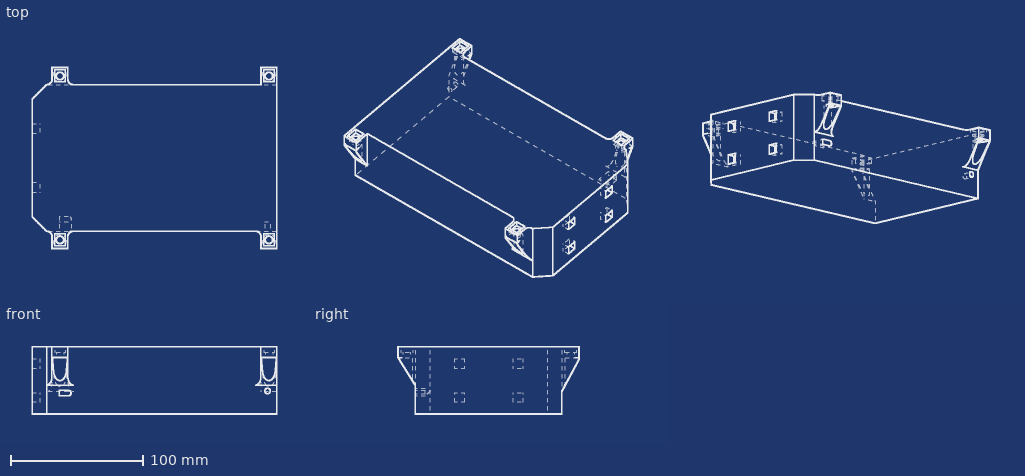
import cadquery as cq
import math

LENGTH = 185.0
OVERALL_WIDTH = 137.0
HEIGHT = 51.0
BODY_WIDTH = 111.0
CORNER_CUT = 11.0

LUG_WIDTH = 12.0
LUG_REACH = (OVERALL_WIDTH - BODY_WIDTH) / 2
LUG_SPACING = 158.0
LUG_FILLET = LUG_WIDTH / 3
FRONT_TIP_HEIGHT = 8.1
FRONT_LUG_DROP = 29.0
REAR_TIP_HEIGHT = 9.6
REAR_LUG_DROP = 33.8

LUG_WALL = 2.0
POCKET_LENGTH = 9.0
POCKET_DEPTH = 4.0
SCREW_DIAMETER = 5.5
RELIEF_DEPTH = 8.5
RELIEF_RADIUS = 4.8
RELIEF_INSET = 6.1
RELIEF_FLARE = math.radians(8)

SQUARE_WIDTH = 7.4
SQUARE_HEIGHT = 7.0
SQUARE_DEPTH = 5.5
SQUARE_SPACING_Y = 44.4
SQUARE_SPACING_Z = 25.5

OPENING_SIZE = 4.0
HOLE_DEPTH = 7.4
SLOT_DEPTH = 7.4
SLOT_START = 20.3
SLOT_LENGTH = 9.0
SLOT_Z = 15.9
ROUND_HOLE_X = 177.9
ROUND_HOLE_Z = 17.5

RIGHT_LUG_X = LENGTH - LUG_WIDTH / 2
LEFT_LUG_X = RIGHT_LUG_X - LUG_SPACING


def make_body():
    box = cq.Workplane("XY").box(LENGTH, BODY_WIDTH, HEIGHT, centered=(False, True, False))
    return box.edges("|Z and <X").chamfer(CORNER_CUT)


def lug_outline(x, side, fillet_left, fillet_right):
    """Prism with the plan shape of a lug, flared where it joins the wall."""
    left = x - LUG_WIDTH / 2
    right = x + LUG_WIDTH / 2
    wall = side * BODY_WIDTH / 2
    inside = wall - side * LUG_REACH
    tip = side * OVERALL_WIDTH / 2
    flare_top = wall + side * LUG_FILLET
    bend = LUG_FILLET * (1 - 0.5 ** 0.5)

    outline = cq.Workplane("XY").moveTo(left, tip).lineTo(right, tip)
    if fillet_right:
        outline = outline.lineTo(right, flare_top)
        outline = outline.threePointArc((right + bend, wall + side * bend), (right + LUG_FILLET, wall))
        outline = outline.lineTo(right, wall)
    outline = outline.lineTo(right, inside).lineTo(left, inside)
    if fillet_left:
        outline = outline.lineTo(left, wall).lineTo(left - LUG_FILLET, wall)
        outline = outline.threePointArc((left - bend, wall + side * bend), (left, flare_top))
    return outline.close().extrude(HEIGHT)


def lug_profile(side, tip_height, drop):
    """Side profile of the lugs: upright tip, sloping underside."""
    wall = side * BODY_WIDTH / 2
    inside = wall - side * LUG_REACH
    tip = side * OVERALL_WIDTH / 2
    points = [
        (inside, HEIGHT),
        (tip, HEIGHT),
        (tip, HEIGHT - tip_height),
        (wall, HEIGHT - drop),
        (inside, HEIGHT - drop),
    ]
    return cq.Workplane("YZ").polyline(points).close().extrude(LENGTH)


def screw_relief(x, side):
    """Upright channel with a round inner end that flares out to the lug tip."""
    tip = side * OVERALL_WIDTH / 2
    tangent_x = RELIEF_RADIUS * math.cos(RELIEF_FLARE)
    tangent_inset = RELIEF_INSET + RELIEF_RADIUS * math.sin(RELIEF_FLARE)
    mouth_x = tangent_x + tangent_inset * math.tan(RELIEF_FLARE)
    tangent_y = tip - side * tangent_inset
    inner_y = tip - side * (RELIEF_INSET + RELIEF_RADIUS)
    return (
        cq.Workplane("XY")
        .moveTo(x - mouth_x, tip)
        .lineTo(x - tangent_x, tangent_y)
        .threePointArc((x, inner_y), (x + tangent_x, tangent_y))
        .lineTo(x + mouth_x, tip)
        .close()
        .extrude(HEIGHT - RELIEF_DEPTH)
    )


def lug_cutter(x, side):
    """Rectangular pocket from above, screw hole, and relief from below."""
    y = side * (OVERALL_WIDTH / 2 - LUG_WALL - POCKET_LENGTH / 2)
    pocket = (
        cq.Workplane("XY", origin=(x, y, HEIGHT))
        .rect(LUG_WIDTH - 2 * LUG_WALL, POCKET_LENGTH)
        .extrude(-POCKET_DEPTH)
    )
    screw = cq.Workplane("XY", origin=(x, y, 0)).circle(SCREW_DIAMETER / 2).extrude(HEIGHT)
    return pocket.union(screw).union(screw_relief(x, side))


def make_lug(x, side, tip_height, drop, fillet_left, fillet_right):
    """Complete lug; side is -1 on the -Y wall and 1 on the +Y wall."""
    outline = lug_outline(x, side, fillet_left, fillet_right)
    return outline.intersect(lug_profile(side, tip_height, drop)).cut(lug_cutter(x, side))


def square_pockets():
    """Two-by-two grid of pockets centred on the -X face."""
    return (
        cq.Workplane("YZ", origin=(0, 0, HEIGHT / 2))
        .rarray(SQUARE_SPACING_Y, SQUARE_SPACING_Z, 2, 2)
        .rect(SQUARE_WIDTH, SQUARE_HEIGHT)
        .extrude(SQUARE_DEPTH)
    )


def side_slot():
    """Slot in the -Y wall: square left end, round right end, floor sloping inward and upward."""
    radius = OPENING_SIZE / 2
    bottom = SLOT_Z - radius
    top = SLOT_Z + radius
    arc_x = SLOT_START + SLOT_LENGTH - radius
    wall_y = -BODY_WIDTH / 2
    shallow_y = wall_y + SLOT_DEPTH
    deep_y = shallow_y + OPENING_SIZE
    slot = (
        cq.Workplane("XZ", origin=(0, wall_y, 0))
        .moveTo(SLOT_START, bottom)
        .lineTo(arc_x, bottom)
        .threePointArc((arc_x + radius, SLOT_Z), (arc_x, top))
        .lineTo(SLOT_START, top)
        .close()
        .extrude(wall_y - deep_y)
    )
    floor_limit = (
        cq.Workplane("YZ")
        .polyline([(wall_y, bottom), (wall_y, top), (deep_y, top), (shallow_y, bottom)])
        .close()
        .extrude(LENGTH)
    )
    return slot.intersect(floor_limit)


def side_hole():
    """Blind round hole in the -Y wall."""
    return (
        cq.Workplane("XZ", origin=(ROUND_HOLE_X, -BODY_WIDTH / 2, ROUND_HOLE_Z))
        .circle(OPENING_SIZE / 2)
        .extrude(-HOLE_DEPTH)
    )


result = make_body()
result = result.union(make_lug(LEFT_LUG_X, -1, FRONT_TIP_HEIGHT, FRONT_LUG_DROP, True, True))
result = result.union(make_lug(RIGHT_LUG_X, -1, FRONT_TIP_HEIGHT, FRONT_LUG_DROP, True, False))
result = result.union(make_lug(LEFT_LUG_X, 1, REAR_TIP_HEIGHT, REAR_LUG_DROP, True, True))
result = result.union(make_lug(RIGHT_LUG_X, 1, REAR_TIP_HEIGHT, REAR_LUG_DROP, False, False))
result = result.cut(square_pockets()).cut(side_slot()).cut(side_hole())